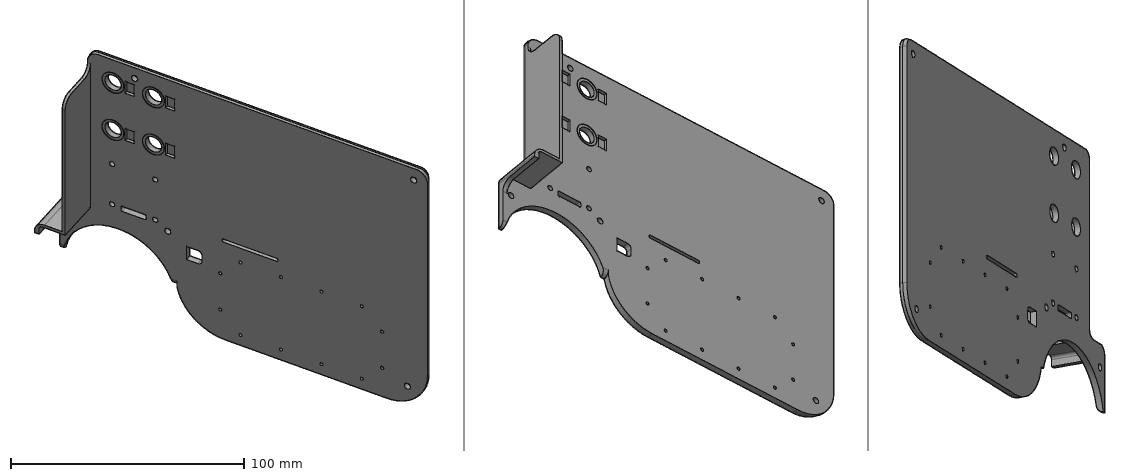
import cadquery as cq
import math

WIDTH = 181.78
DEPTH = 24.75
HEIGHT = 132.2

PANEL_THICKNESS = 3.0
FLANGE_REACH = DEPTH - PANEL_THICKNESS

WALL_X = 13.7
SHELF_Z = 47.7
TOP_CORNER_FRONT_RADIUS = 5.5
TOP_CORNER_REAR_RADIUS = 4.0
BOTTOM_RIGHT_RADIUS = 20.0
BOTTOM_LEFT_RADIUS = 24.5
LOWER_EDGE_X = 57.5
BAY_CENTER = (29.1, 12.0)
BAY_RADIUS = 28.0
LEG_END_Z = 17.2
TONGUE_END_Z = 20.0
LIP_RADIUS = 5.0

BEVEL_DEPTH = 1.5
TOP_BEVEL_INSET = 0.5
WALL_BEVEL_INSET = 0.2
RIGHT_BEVEL_INSET = 1.0
INNER_CORNER_RADIUS = 3.7

WALL_THICKNESS = 1.5
SHELF_THICKNESS = 1.5
LIP_THICKNESS = 2.3
LIP_INNER_RADIUS = 1.5
FLANGE_TOP_Z = 120.8
FLANGE_BOTTOM_Z = 41.6
FLANGE_ROOT_RADIUS = 5.0
FLANGE_NOSE_RADIUS = 5.5

SCREW_DIAMETER = 3.0
SCREW_POINTS = [(37.0, 126.3), (175.0, 125.8), (53.4, 48.5), (4.45, 36.5), (171.9, 10.7)]
BOARD_DIAMETER = 2.53
BOARD_CENTER = (36.6, 63.5)
BOARD_PITCH_X = 21.3
BOARD_PITCH_Z = 22.2
PIN_DIAMETER = 1.5
PIN_CENTER = (119.4, 25.8)
PIN_PITCH = 20.0
PINS_PER_ROW = 4
PIN_ROW_HALF_HEIGHT = PIN_PITCH
PIN_SIDE_HALF_WIDTH = 2 * PIN_PITCH
PIN_SIDE_HALF_HEIGHT = PIN_PITCH / 2

BUTTON_DIAMETER = 8.0
BUTTON_SEAT_DIAMETER = 10.8
BUTTON_SEAT_DEPTH = 0.2
BUTTON_ROWS_Z = (119.55, 93.5)
BUTTON_COLUMNS_X = (26.3, 46.3)
LABEL_OFFSET_X = 8.3
LABEL_WIDTH = 4.5
LABEL_HEIGHT = 6.5
LABEL_DEPTH = 1.5

CABLE_SLOT_CENTER = (94.1, 54.5)
CABLE_SLOT_SIZE = (27.5, 1.7)
PLUG_SLOT_CENTER = (36.5, 51.8)
PLUG_SLOT_SIZE = (12.5, 2.7)
SLOT_CORNER_RADIUS = 0.6
SOCKET_CENTER = (66.5, 40.3)
SOCKET_SIZE = (7.7, 7.2)
SOCKET_CORNER_RADIUS = 2.0


def prism(profile, y_front, y_back):
    """Extrude a profile drawn on an XZ workplane at Y = y_front back to y_back."""
    return profile.extrude(y_front - y_back)


def front_plane(y=0.0):
    return cq.Workplane("XZ", origin=(0, y, 0))


def bay_x(z, side):
    """X of the circular bay edge at height z; side is -1 for left, +1 for right."""
    return BAY_CENTER[0] + side * math.sqrt(BAY_RADIUS**2 - (z - BAY_CENTER[1]) ** 2)


def lower_edge_x(z):
    """X of the rounded bottom-left edge at height z."""
    rise = BOTTOM_LEFT_RADIUS - z
    return LOWER_EDGE_X + BOTTOM_LEFT_RADIUS - math.sqrt(BOTTOM_LEFT_RADIUS**2 - rise**2)


def panel_outline(y, bevel, inner_radius):
    """Closed panel outline at depth y; bevel is 0 for the full outline and 1 for the rear face."""
    wall_x = WALL_X + bevel * WALL_BEVEL_INSET
    shelf_z = SHELF_Z - bevel * TOP_BEVEL_INSET
    right_x = WIDTH - bevel * RIGHT_BEVEL_INSET
    top_z = HEIGHT - bevel * TOP_BEVEL_INSET
    corner_growth = (TOP_CORNER_REAR_RADIUS - TOP_CORNER_FRONT_RADIUS) * y / PANEL_THICKNESS
    corner_radius = TOP_CORNER_FRONT_RADIUS + corner_growth
    outline = (
        front_plane(y)
        .moveTo(0, LEG_END_Z)
        .lineTo(0, shelf_z)
        .lineTo(wall_x - inner_radius, shelf_z)
    )
    if inner_radius > 0:
        outline = outline.radiusArc((wall_x, shelf_z + inner_radius), -inner_radius)
    return (
        outline.lineTo(wall_x, top_z - corner_radius)
        .radiusArc((wall_x + corner_radius, top_z), corner_radius)
        .lineTo(right_x - corner_radius, top_z)
        .radiusArc((right_x, top_z - corner_radius), corner_radius)
        .lineTo(right_x, BOTTOM_RIGHT_RADIUS)
        .radiusArc((right_x - BOTTOM_RIGHT_RADIUS, 0), BOTTOM_RIGHT_RADIUS)
        .lineTo(LOWER_EDGE_X + BOTTOM_LEFT_RADIUS, 0)
        .radiusArc((lower_edge_x(TONGUE_END_Z), TONGUE_END_Z), BOTTOM_LEFT_RADIUS)
        .lineTo(bay_x(TONGUE_END_Z, 1), TONGUE_END_Z)
        .threePointArc((BAY_CENTER[0], BAY_CENTER[1] + BAY_RADIUS), (bay_x(LEG_END_Z, -1), LEG_END_Z))
        .close()
    )


def layer(front_outline, rear_outline):
    """Ruled solid between two outlines of the same number of edges."""
    return cq.Workplane(cq.Solid.makeLoft([front_outline.val(), rear_outline.val()], True))


def make_panel():
    """Flat panel: a front layer, and a bevelled rear layer with a filleted inner corner."""
    bevel_y = PANEL_THICKNESS - BEVEL_DEPTH
    front_layer = layer(panel_outline(0, 0, 0), panel_outline(bevel_y, 0, 0))
    rear_layer = layer(
        panel_outline(bevel_y, 0, INNER_CORNER_RADIUS),
        panel_outline(PANEL_THICKNESS, 1, INNER_CORNER_RADIUS),
    )
    return front_layer.union(rear_layer)


def round_lip_corner(panel):
    """Round the panel's upper left corner to follow the lip of the flange."""
    block = front_plane().moveTo(0, SHELF_Z - LIP_RADIUS).rect(LIP_RADIUS, LIP_RADIUS, centered=False)
    barrel = front_plane().moveTo(LIP_RADIUS, SHELF_Z - LIP_RADIUS).circle(LIP_RADIUS)
    corner = prism(block, 0, PANEL_THICKNESS).cut(prism(barrel, 0, PANEL_THICKNESS))
    return panel.cut(corner)


def round_under_tip(panel, x_left, x_right, tip_z):
    """Round the front lower edge of a tip over the full panel thickness."""
    radius = PANEL_THICKNESS
    size = (x_right - x_left, radius, radius)
    block = cq.Workplane().box(*size, centered=False).translate((x_left, 0, tip_z))
    barrel = (
        cq.Workplane("YZ", origin=(x_left, 0, 0))
        .center(radius, tip_z + radius)
        .circle(radius)
        .extrude(x_right - x_left)
    )
    return panel.cut(block.cut(barrel))


def make_flange():
    """Bent strip of wall, shelf and lip, trimmed to its side profile."""
    shelf_underside = SHELF_Z - SHELF_THICKNESS
    strip_bottom = FLANGE_BOTTOM_Z - FLANGE_ROOT_RADIUS
    strip_top = FLANGE_TOP_Z + FLANGE_ROOT_RADIUS
    strip = prism(
        front_plane(-FLANGE_REACH)
        .moveTo(0, strip_bottom)
        .lineTo(0, SHELF_Z - LIP_RADIUS)
        .radiusArc((LIP_RADIUS, SHELF_Z), LIP_RADIUS)
        .lineTo(WALL_X, SHELF_Z)
        .lineTo(WALL_X, strip_top)
        .lineTo(WALL_X + WALL_THICKNESS, strip_top)
        .lineTo(WALL_X + WALL_THICKNESS, shelf_underside)
        .lineTo(LIP_THICKNESS + LIP_INNER_RADIUS, shelf_underside)
        .radiusArc((LIP_THICKNESS, shelf_underside - LIP_INNER_RADIUS), -LIP_INNER_RADIUS)
        .lineTo(LIP_THICKNESS, strip_bottom)
        .close(),
        -FLANGE_REACH,
        0,
    )
    side_profile = (
        cq.Workplane("YZ")
        .moveTo(0, strip_bottom)
        .radiusArc((-FLANGE_ROOT_RADIUS, FLANGE_BOTTOM_Z), -FLANGE_ROOT_RADIUS)
        .lineTo(-FLANGE_REACH, FLANGE_BOTTOM_Z)
        .lineTo(-FLANGE_REACH, FLANGE_TOP_Z - FLANGE_NOSE_RADIUS)
        .radiusArc((FLANGE_NOSE_RADIUS - FLANGE_REACH, FLANGE_TOP_Z), FLANGE_NOSE_RADIUS)
        .lineTo(-FLANGE_ROOT_RADIUS, FLANGE_TOP_Z)
        .radiusArc((0, strip_top), -FLANGE_ROOT_RADIUS)
        .close()
        .extrude(WALL_X + WALL_THICKNESS)
    )
    return strip.intersect(side_profile)


def cut_round_holes(body, points, diameter, depth=PANEL_THICKNESS):
    return body.cut(prism(front_plane().pushPoints(points).circle(diameter / 2), 0, depth))


def grid(columns, rows):
    return [(x, z) for x in columns for z in rows]


def about(center, offset):
    return (center - offset, center + offset)


def pin_points():
    """Pin holes: four along the top and bottom rows and two on each side."""
    first_x = PIN_CENTER[0] - PIN_PITCH * (PINS_PER_ROW - 1) / 2
    row_columns = [first_x + PIN_PITCH * i for i in range(PINS_PER_ROW)]
    rows = grid(row_columns, about(PIN_CENTER[1], PIN_ROW_HALF_HEIGHT))
    side_columns = about(PIN_CENTER[0], PIN_SIDE_HALF_WIDTH)
    sides = grid(side_columns, about(PIN_CENTER[1], PIN_SIDE_HALF_HEIGHT))
    return rows + sides


def board_points():
    columns = about(BOARD_CENTER[0], BOARD_PITCH_X / 2)
    return grid(columns, about(BOARD_CENTER[1], BOARD_PITCH_Z / 2))


def opening(center, size, corner_radius, corners):
    """Rectangular cutter through the panel with the selected upright corners rounded."""
    block = prism(front_plane().center(*center).rect(*size), 0, PANEL_THICKNESS)
    return block.edges(corners).fillet(corner_radius)


def cut_buttons(body):
    points = grid(BUTTON_COLUMNS_X, BUTTON_ROWS_Z)
    body = cut_round_holes(body, points, BUTTON_DIAMETER)
    body = cut_round_holes(body, points, BUTTON_SEAT_DIAMETER, BUTTON_SEAT_DEPTH)
    label_points = [(x + LABEL_OFFSET_X, z) for x, z in points]
    labels = front_plane().pushPoints(label_points).rect(LABEL_WIDTH, LABEL_HEIGHT)
    return body.cut(prism(labels, 0, LABEL_DEPTH))


panel = make_panel()
panel = round_lip_corner(panel)
panel = round_under_tip(panel, 0, BAY_CENTER[0], LEG_END_Z)
panel = round_under_tip(panel, BAY_CENTER[0], lower_edge_x(TONGUE_END_Z), TONGUE_END_Z)

result = panel.union(make_flange())
result = cut_round_holes(result, SCREW_POINTS, SCREW_DIAMETER)
result = cut_round_holes(result, board_points(), BOARD_DIAMETER)
result = cut_round_holes(result, pin_points(), PIN_DIAMETER)
result = cut_buttons(result)
result = result.cut(opening(CABLE_SLOT_CENTER, CABLE_SLOT_SIZE, SLOT_CORNER_RADIUS, "|Y"))
result = result.cut(opening(PLUG_SLOT_CENTER, PLUG_SLOT_SIZE, SLOT_CORNER_RADIUS, "|Y"))
result = result.cut(opening(SOCKET_CENTER, SOCKET_SIZE, SOCKET_CORNER_RADIUS, "|Y and >X"))